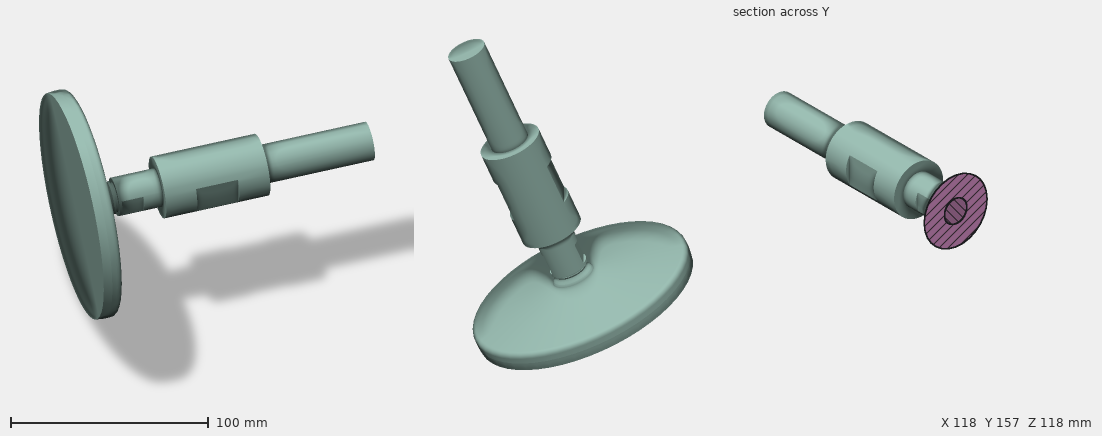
import cadquery as cq
import math

TOTAL_LENGTH = 157.0

BASE_RADIUS = 58.5
RIM_RADIUS = 59.0
RIM_LOWER_HEIGHT = 4.4
RIM_UPPER_HEIGHT = 7.2
SHOULDER_RADIUS = 2.8
CONE_SLOPE = 9.0
COLLAR_RADIUS = 11.1
COLLAR_BEVEL_RADIUS = 10.2
COLLAR_BEVEL_HEIGHT = 18.4
THROAT_RADIUS = 8.2
THROAT_HEIGHT = 20.3
LIP_RADIUS = 8.6
LIP_HEIGHT = 21.2
SOCKET_FLOOR = 10.0

SPINDLE_DIAMETER = 20.0
SPINDLE_START = 22.6
NECK_RADIUS = 7.0
NECK_TOP_RADIUS = 7.7
NECK_TAPER_START = 21.8
SPINDLE_FLAT_WIDTH = 17.0
SPINDLE_FLAT_START = 24.0
SPINDLE_FLAT_LENGTH = 11.5

SLEEVE_DIAMETER = 32.0
SLEEVE_START = 45.4
SLEEVE_LENGTH = 54.8
SLEEVE_FLAT_WIDTH = 27.2
SLEEVE_FLAT_LENGTH = 22.1


def revolve_about_y(profile):
    return profile.close().revolve(360, (0, 0, 0), (0, 1, 0))


def cylinder_along_y(radius, start, length):
    return cq.Workplane("XZ", origin=(0, start, 0)).circle(radius).extrude(-length)


def cut_wrench_flats(body, diameter, across_flats, start, length):
    """Cut two opposite flats facing -X and +X, leaving across_flats between them."""
    for side in (-1, 1):
        block_center = side * (across_flats + diameter) / 2
        block = cq.Workplane("XY").box(diameter, length, diameter)
        body = body.cut(block.translate((block_center, start + length / 2, 0)))
    return body


def shoulder_point(angle):
    """Point on the shoulder arc; angle in degrees from the outward radial direction."""
    turn = math.radians(angle)
    return (
        RIM_RADIUS - SHOULDER_RADIUS + SHOULDER_RADIUS * math.cos(turn),
        RIM_UPPER_HEIGHT + SHOULDER_RADIUS * math.sin(turn),
    )


def make_foot():
    arc_end_angle = 90 - CONE_SLOPE
    shoulder_middle = shoulder_point(arc_end_angle / 2)
    shoulder_top = shoulder_point(arc_end_angle)
    cone_rise = (shoulder_top[0] - COLLAR_RADIUS) * math.tan(math.radians(CONE_SLOPE))
    profile = (
        cq.Workplane("XY")
        .lineTo(BASE_RADIUS, 0)
        .lineTo(RIM_RADIUS, RIM_LOWER_HEIGHT)
        .lineTo(RIM_RADIUS, RIM_UPPER_HEIGHT)
        .threePointArc(shoulder_middle, shoulder_top)
        .lineTo(COLLAR_RADIUS, shoulder_top[1] + cone_rise)
        .lineTo(COLLAR_BEVEL_RADIUS, COLLAR_BEVEL_HEIGHT)
        .lineTo(THROAT_RADIUS, THROAT_HEIGHT)
        .lineTo(LIP_RADIUS, LIP_HEIGHT)
        .lineTo(0, LIP_HEIGHT)
    )
    socket = cylinder_along_y(NECK_RADIUS, SOCKET_FLOOR, LIP_HEIGHT - SOCKET_FLOOR)
    return revolve_about_y(profile).cut(socket)


def make_spindle():
    spindle_radius = SPINDLE_DIAMETER / 2
    profile = (
        cq.Workplane("XY")
        .moveTo(0, SOCKET_FLOOR)
        .lineTo(NECK_RADIUS, SOCKET_FLOOR)
        .lineTo(NECK_RADIUS, NECK_TAPER_START)
        .lineTo(NECK_TOP_RADIUS, SPINDLE_START)
        .lineTo(spindle_radius, SPINDLE_START)
        .lineTo(spindle_radius, TOTAL_LENGTH)
        .lineTo(0, TOTAL_LENGTH)
    )
    return cut_wrench_flats(
        revolve_about_y(profile),
        SPINDLE_DIAMETER,
        SPINDLE_FLAT_WIDTH,
        SPINDLE_FLAT_START,
        SPINDLE_FLAT_LENGTH,
    )


def make_sleeve():
    sleeve = cylinder_along_y(SLEEVE_DIAMETER / 2, SLEEVE_START, SLEEVE_LENGTH)
    bore = cylinder_along_y(SPINDLE_DIAMETER / 2, SLEEVE_START, SLEEVE_LENGTH)
    flat_start = SLEEVE_START + (SLEEVE_LENGTH - SLEEVE_FLAT_LENGTH) / 2
    return cut_wrench_flats(
        sleeve.cut(bore),
        SLEEVE_DIAMETER,
        SLEEVE_FLAT_WIDTH,
        flat_start,
        SLEEVE_FLAT_LENGTH,
    )


foot = make_foot()
spindle = make_spindle()
sleeve = make_sleeve()

result = cq.Compound.makeCompound([foot.val(), spindle.val(), sleeve.val()])